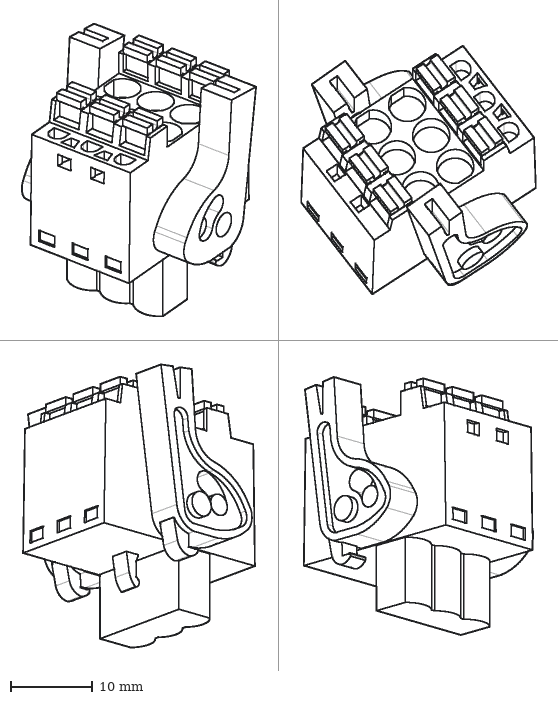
import cadquery as cq
import math


POLES = 3
POLE_PITCH = 5.1
pole_x = [(i - (POLES - 1) / 2) * POLE_PITCH for i in range(POLES)]
between_x = [(i - (POLES - 2) / 2) * POLE_PITCH for i in range(POLES - 1)]

HOUSING_HALF_WIDTH = 7.59
HOUSING_HALF_DEPTH = 12.375
FRONT_SHELF_Y = -12.11
REAR_SHELF_Y = 12.07
DECK_Z = 15.85
REAR_SHELF_Z = 16.29
TOWER_TOP_Z = 18.86
FRONT_TOWER_INNER_Y = -4.49
FRONT_TOWER_TOP_Y = -7.96
FRONT_TOWER_FOOT_Y = -8.47
REAR_TOWER_INNER_Y = 5.88
REAR_TOWER_TOP_Y = 9.33
REAR_TOWER_FOOT_Y = 9.68

BUTTON_WIDTH = 3.72
SLOT_WIDTH = 3.94
SLOT_FLOOR_Z = 16.33
SLOT_ROW_HALF_WIDTH = POLE_PITCH + BUTTON_WIDTH / 2
HEAD_DEPTH = 3.24
STEM_DEPTH = 2.02
HEAD_BOTTOM_Z = 18.92
BUTTON_TOP_Z = 19.98
GROOVE_WIDTH = 0.96
GROOVE_BOTTOM_Z = 18.88
button_rows_y = [-6.2, 7.55]

WIRE_HOLE_RADIUS = 2.28
WIRE_HOLE_DEPTH = 2.68
WIRE_ROW_HALF_WIDTH = 7.18
wire_rows_y = [-1.92, 3.28]

TEST_HOLE_RADIUS = 1.18
TEST_HOLE_CENTER_Y = -10.09
TEST_HOLE_FLAT_Y = -9.21
KEY_WIDE_HALF = 1.02
KEY_NARROW_HALF = 0.6
KEY_DEPTH = 1.54
KEY_SHELF_Y = -11.45
KEY_WALL_BOTTOM_Z = 12.83
KEY_WALL_HEIGHT = 1.6
SHELF_OPENING_DEPTH = DECK_Z - KEY_WALL_BOTTOM_Z
REAR_POCKET_WIDTH = 1.72
REAR_POCKET_DEPTH = 1.6
REAR_POCKET_CENTER_Y = 10.69
WINDOW_WIDTH = 2.4
WINDOW_BOTTOM_Z = 1.0
WINDOW_HEIGHT = 1.56
WINDOW_DEPTH = 0.3

SPIGOT_LENGTH = 8.4
SPIGOT_REAR_Y = -0.07
SPIGOT_FLAT_Y = -5.13
SPIGOT_FRONT_Y = -6.07
SPIGOT_LOBE_WIDTH = 4.58
SPIGOT_HALF_WIDTH = POLE_PITCH + SPIGOT_LOBE_WIDTH / 2

LEVER_WIDTH = 4.68
LEVER_OUTER_X = 12.47
LEVER_INNER_X = LEVER_OUTER_X - LEVER_WIDTH
LEVER_TOP_Z = 21.12
LEVER_RECESS_DEPTH = 0.97
LEVER_RECESS_SHOULDER_Z = 14.58
LEVER_RIM_Z = 1.02
PIVOT_Y = 0.63
PIVOT_Z = 3.89
PIVOT_RADIUS = 1.58
GUIDE_RADIUS = 1.36
GUIDE_ORBIT = 3.79
GUIDE_START_ANGLE = 165.5
GUIDE_END_ANGLE = 113
GRIP_SLOT_LENGTH = 3.65
GRIP_SLOT_END_Z = 17.0
GRIP_SLOT_TIP_Z = 16.82
HOOK_WIDTH = 2.6
HOOK_ROOT_Z = 1.57
HOOK_LEDGE_Z = -1.77


def box(x0, x1, y0, y1, z0, z1):
    return cq.Workplane("XY").box(x1 - x0, y1 - y0, z1 - z0, centered=False).translate((x0, y0, z0))


def key_opening(wide_y):
    """Plan of a keying opening that narrows from wide_y toward +Y."""
    narrow_y = wide_y + KEY_DEPTH
    return cq.Workplane("XY").polyline([
        (-KEY_WIDE_HALF, wide_y),
        (KEY_WIDE_HALF, wide_y),
        (KEY_NARROW_HALF, narrow_y),
        (-KEY_NARROW_HALF, narrow_y),
    ]).close()


def wall_y(z):
    """Distance of the front wall, which leans inward, from Y = 0 at height z."""
    return HOUSING_HALF_DEPTH + (-FRONT_SHELF_Y - HOUSING_HALF_DEPTH) * z / DECK_Z


def orbit_point(radius, angle):
    turn = math.radians(angle)
    return (PIVOT_Y + radius * math.cos(turn), PIVOT_Z + radius * math.sin(turn))


def make_shell():
    profile = [
        (-HOUSING_HALF_DEPTH, 0),
        (HOUSING_HALF_DEPTH, 0),
        (REAR_SHELF_Y, REAR_SHELF_Z),
        (REAR_TOWER_FOOT_Y, REAR_SHELF_Z),
        (REAR_TOWER_TOP_Y, TOWER_TOP_Z),
        (REAR_TOWER_INNER_Y, TOWER_TOP_Z),
        (REAR_TOWER_INNER_Y, DECK_Z),
        (FRONT_TOWER_INNER_Y, DECK_Z),
        (FRONT_TOWER_INNER_Y, TOWER_TOP_Z),
        (FRONT_TOWER_TOP_Y, TOWER_TOP_Z),
        (FRONT_TOWER_FOOT_Y, DECK_Z),
        (FRONT_SHELF_Y, DECK_Z),
    ]
    outline = cq.Workplane("YZ").polyline(profile).close()
    return outline.extrude(HOUSING_HALF_WIDTH, both=True)


def cut_button_slots(body):
    for x in pole_x:
        left = max(x - SLOT_WIDTH / 2, -SLOT_ROW_HALF_WIDTH)
        right = min(x + SLOT_WIDTH / 2, SLOT_ROW_HALF_WIDTH)
        body = body.cut(box(left, right, FRONT_SHELF_Y, REAR_SHELF_Y, SLOT_FLOOR_Z, TOWER_TOP_Z))
    return body


def cut_wire_holes(body):
    floor_z = DECK_Z - WIRE_HOLE_DEPTH
    centers = [(x, y) for x in pole_x for y in wire_rows_y]
    holes = cq.Workplane("XY", origin=(0, 0, floor_z)).pushPoints(centers)
    holes = holes.circle(WIRE_HOLE_RADIUS).extrude(WIRE_HOLE_DEPTH)
    side_limit = box(-WIRE_ROW_HALF_WIDTH, WIRE_ROW_HALF_WIDTH,
                     FRONT_TOWER_INNER_Y, REAR_TOWER_INNER_Y, floor_z, DECK_Z)
    return body.cut(holes.intersect(side_limit))


def cut_test_holes(body):
    r = TEST_HOLE_RADIUS
    hole = (
        cq.Workplane("XY")
        .moveTo(-r, TEST_HOLE_FLAT_Y)
        .lineTo(-r, TEST_HOLE_CENTER_Y)
        .threePointArc((0, TEST_HOLE_CENTER_Y - r), (r, TEST_HOLE_CENTER_Y))
        .lineTo(r, TEST_HOLE_FLAT_Y)
        .close()
        .extrude(SHELF_OPENING_DEPTH)
    )
    for x in pole_x:
        body = body.cut(hole.translate((x, 0, DECK_Z - SHELF_OPENING_DEPTH)))
    return body


def cut_key_openings(body):
    shelf_opening = key_opening(KEY_SHELF_Y).extrude(SHELF_OPENING_DEPTH)
    wall_opening = key_opening(-wall_y(KEY_WALL_BOTTOM_Z)).extrude(KEY_WALL_HEIGHT)
    half_width = REAR_POCKET_WIDTH / 2
    half_depth = REAR_POCKET_DEPTH / 2
    rear_pocket = box(-half_width, half_width,
                      REAR_POCKET_CENTER_Y - half_depth, REAR_POCKET_CENTER_Y + half_depth,
                      REAR_SHELF_Z - SHELF_OPENING_DEPTH, REAR_SHELF_Z)
    for x in between_x:
        body = body.cut(shelf_opening.translate((x, 0, DECK_Z - SHELF_OPENING_DEPTH)))
        body = body.cut(wall_opening.translate((x, 0, KEY_WALL_BOTTOM_Z)))
        body = body.cut(rear_pocket.translate((x, 0, 0)))
    return body


def cut_windows(body):
    """Shallow windows low in the front and rear walls."""
    top_z = WINDOW_BOTTOM_Z + WINDOW_HEIGHT
    inner_y = wall_y(top_z) - WINDOW_DEPTH
    for x in pole_x:
        window = box(x - WINDOW_WIDTH / 2, x + WINDOW_WIDTH / 2,
                     inner_y, HOUSING_HALF_DEPTH, WINDOW_BOTTOM_Z, top_z)
        body = body.cut(window).cut(window.mirror("XZ"))
    return body


def make_spigot():
    spigot = box(-SPIGOT_HALF_WIDTH, SPIGOT_HALF_WIDTH, SPIGOT_FLAT_Y, SPIGOT_REAR_Y, -SPIGOT_LENGTH, 0)
    half_lobe = SPIGOT_LOBE_WIDTH / 2
    lobe = (
        cq.Workplane("XY", origin=(0, 0, -SPIGOT_LENGTH))
        .moveTo(-half_lobe, SPIGOT_FLAT_Y)
        .threePointArc((0, SPIGOT_FRONT_Y), (half_lobe, SPIGOT_FLAT_Y))
        .close()
        .extrude(SPIGOT_LENGTH)
    )
    for x in pole_x:
        spigot = spigot.union(lobe.translate((x, 0, 0)))
    return spigot


def make_housing_latch():
    """Curved latch finger hanging behind the spigot."""
    return (
        cq.Workplane("YZ")
        .moveTo(3.2, 0)
        .lineTo(2.75, -2.58)
        .threePointArc((2.36, -3.55), (1.75, -4.3))
        .threePointArc((1.27, -4.06), (1.2, -3.27))
        .lineTo(1.61, -2.93)
        .lineTo(1.61, -0.99)
        .lineTo(1.23, 0)
        .close()
        .extrude(HOOK_WIDTH / 2, both=True)
    )


def make_side_pins():
    """Pivot and guide pins on both sides of the housing."""
    pivot_length = LEVER_OUTER_X - HOUSING_HALF_WIDTH
    guide_length = pivot_length - LEVER_RECESS_DEPTH
    side = cq.Workplane("YZ", origin=(HOUSING_HALF_WIDTH, 0, 0))
    pivot = side.center(PIVOT_Y, PIVOT_Z).circle(PIVOT_RADIUS).extrude(pivot_length)
    guide_y, guide_z = orbit_point(GUIDE_ORBIT, GUIDE_START_ANGLE)
    guide = side.center(guide_y, guide_z).circle(GUIDE_RADIUS).extrude(guide_length)
    pins = pivot.union(guide)
    return pins, pins.mirror("YZ")


def make_housing():
    body = make_shell()
    body = cut_button_slots(body)
    body = cut_wire_holes(body)
    body = cut_test_holes(body)
    body = cut_key_openings(body)
    body = cut_windows(body)
    body = body.union(make_spigot()).union(make_housing_latch())
    for pins in make_side_pins():
        body = body.union(pins)
    return body


def make_button(x, y):
    """Push button: a narrow stem under a wider head with a round-bottomed groove along X."""
    half_width = BUTTON_WIDTH / 2
    stem = box(-half_width, half_width, -STEM_DEPTH / 2, STEM_DEPTH / 2, SLOT_FLOOR_Z, HEAD_BOTTOM_Z)
    head = box(-half_width, half_width, -HEAD_DEPTH / 2, HEAD_DEPTH / 2, HEAD_BOTTOM_Z, BUTTON_TOP_Z)
    half_groove = GROOVE_WIDTH / 2
    groove = (
        cq.Workplane("YZ")
        .moveTo(-half_groove, BUTTON_TOP_Z)
        .lineTo(-half_groove, GROOVE_BOTTOM_Z + half_groove)
        .threePointArc((0, GROOVE_BOTTOM_Z), (half_groove, GROOVE_BOTTOM_Z + half_groove))
        .lineTo(half_groove, BUTTON_TOP_Z)
        .close()
        .extrude(half_width, both=True)
    )
    return stem.union(head).cut(groove).translate((x, y, 0))


def lever_outline():
    return (
        cq.Workplane("YZ")
        .moveTo(7.31, 20.56)
        .lineTo(2.24, LEVER_TOP_Z)
        .lineTo(1.67, 13.4)
        .threePointArc((0.67, 11.03), (-1.36, 9.83))
        .threePointArc((-4.02, 8.79), (-6.97, 5.76))
        .lineTo(-7.36, 5.1)
        .threePointArc((-7.61, 3.91), (-7.0, 2.33))
        .threePointArc((-4.72, 0.72), (-1.92, 0))
        .lineTo(1.96, 0)
        .threePointArc((3.76, 0.92), (4.72, 2.91))
        .close()
    )


def lever_recess_outline():
    return (
        cq.Workplane("YZ")
        .moveTo(5.15, LEVER_RECESS_SHOULDER_Z)
        .threePointArc((4.04, 15.67), (2.92, LEVER_RECESS_SHOULDER_Z))
        .lineTo(2.76, 12.98)
        .threePointArc((1.4, 10.4), (-1.33, 8.75))
        .threePointArc((-4.42, 7.3), (-6.51, 4.61))
        .threePointArc((-6.75, 3.71), (-6.11, 2.51))
        .threePointArc((-4.02, 1.52), (-1.63, LEVER_RIM_Z))
        .lineTo(1.96, LEVER_RIM_Z)
        .threePointArc((2.76, 1.36), (3.4, 2.41))
        .close()
    )


def lever_guide_slot():
    """Arc slot around the pivot in which the guide pin travels."""
    middle_angle = (GUIDE_START_ANGLE + GUIDE_END_ANGLE) / 2
    outer = GUIDE_ORBIT + GUIDE_RADIUS
    inner = GUIDE_ORBIT - GUIDE_RADIUS
    band = (
        cq.Workplane("YZ")
        .moveTo(*orbit_point(outer, GUIDE_START_ANGLE))
        .threePointArc(orbit_point(outer, middle_angle), orbit_point(outer, GUIDE_END_ANGLE))
        .lineTo(*orbit_point(inner, GUIDE_END_ANGLE))
        .threePointArc(orbit_point(inner, middle_angle), orbit_point(inner, GUIDE_START_ANGLE))
        .close()
        .extrude(LEVER_WIDTH)
    )
    ends = [orbit_point(GUIDE_ORBIT, a) for a in (GUIDE_START_ANGLE, GUIDE_END_ANGLE)]
    return band.union(cq.Workplane("YZ").pushPoints(ends).circle(GUIDE_RADIUS).extrude(LEVER_WIDTH))


def lever_grip_slot():
    """Tapered slot in the top of the lever."""
    return (
        cq.Workplane("YZ")
        .moveTo(5.4, LEVER_TOP_Z)
        .lineTo(4.56, GRIP_SLOT_END_Z)
        .threePointArc((4.36, GRIP_SLOT_TIP_Z), (4.16, GRIP_SLOT_END_Z))
        .lineTo(4.16, LEVER_TOP_Z)
        .close()
        .extrude(GRIP_SLOT_LENGTH)
    )


def lever_hook():
    """Locking hook under the lever."""
    return (
        cq.Workplane("YZ")
        .moveTo(4.31, HOOK_ROOT_Z)
        .lineTo(3.69, -1.27)
        .threePointArc((3.25, -2.15), (1.89, -2.89))
        .threePointArc((1.1, -2.7), (0.38, -2.13))
        .lineTo(0.36, -1.89)
        .threePointArc((0.45, -1.7), (0.6, -1.67))
        .lineTo(0.72, HOOK_LEDGE_Z)
        .lineTo(1.82, HOOK_LEDGE_Z)
        .lineTo(1.95, HOOK_ROOT_Z)
        .close()
        .extrude(HOOK_WIDTH)
        .translate(((LEVER_WIDTH - HOOK_WIDTH) / 2, 0, 0))
    )


def make_lever(x):
    """Lever whose -X face lies at x."""
    lever = lever_outline().extrude(LEVER_WIDTH).union(lever_hook())
    lever = lever.cut(lever_recess_outline().extrude(LEVER_RECESS_DEPTH))
    lever = lever.cut(lever_guide_slot())
    lever = lever.cut(lever_grip_slot())
    pivot_hole = cq.Workplane("YZ").center(PIVOT_Y, PIVOT_Z).circle(PIVOT_RADIUS).extrude(LEVER_WIDTH)
    return lever.cut(pivot_hole).translate((x, 0, 0))


housing = make_housing()
buttons = [make_button(x, y) for y in button_rows_y for x in pole_x]
levers = [make_lever(x) for x in (-LEVER_OUTER_X, LEVER_INNER_X)]

result = cq.Compound.makeCompound([
    housing.val(),
    *[button.val() for button in buttons],
    *[lever.val() for lever in levers],
])